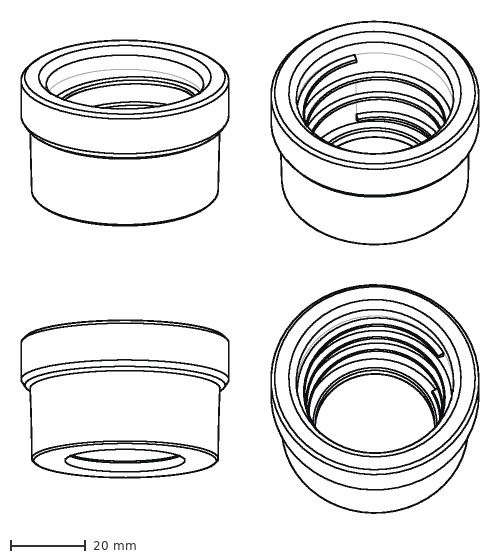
import cadquery as cq
import math

total_height = 33.0

collar_radius = 27.75
collar_top_chamfer = 1.0
collar_base_drop = 11.0
underside_break_drop = 12.55
underside_break_radius = 26.75

neck_top_drop = 13.45
neck_top_radius = 25.35
neck_base_radius = 24.9
neck_base_chamfer = 0.55

bore_radius = 21.0
bore_chamfer = 2.0
straight_bore_depth = 6.0
bore_depth = 30.0
bore_taper = 4.5
outlet_radius = 16.0
outlet_chamfer = 0.55

thread_pitch = 7.0
thread_turns = 3
thread_height = 1.7
thread_root_width = 2.45
crest_top_drop = 0.35
crest_base_drop = 1.15
crest_bulge = 0.3
root_overlap = 0.55

taper_slope = math.tan(math.radians(bore_taper))
bore_floor_z = total_height - bore_depth
taper_top_z = total_height - straight_bore_depth


def tapered_bore_radius(z):
    return bore_radius - (taper_top_z - z) * taper_slope


def make_body():
    profile = (
        cq.Workplane("XZ")
        .moveTo(outlet_radius, 0)
        .lineTo(neck_base_radius - neck_base_chamfer, 0)
        .lineTo(neck_base_radius, neck_base_chamfer)
        .lineTo(neck_top_radius, total_height - neck_top_drop)
        .lineTo(underside_break_radius, total_height - underside_break_drop)
        .lineTo(collar_radius, total_height - collar_base_drop)
        .lineTo(collar_radius, total_height - collar_top_chamfer)
        .lineTo(collar_radius - collar_top_chamfer, total_height)
        .lineTo(bore_radius + bore_chamfer, total_height)
        .lineTo(bore_radius, total_height - bore_chamfer)
        .lineTo(bore_radius, taper_top_z)
        .lineTo(tapered_bore_radius(bore_floor_z), bore_floor_z)
        .lineTo(outlet_radius + outlet_chamfer, bore_floor_z)
        .lineTo(outlet_radius, bore_floor_z - outlet_chamfer)
        .close()
    )
    return profile.revolve(360, (0, 0, 0), (0, 1, 0))


def make_thread():
    rise = thread_pitch * thread_turns
    root_top_z = taper_top_z - rise
    root_base_z = root_top_z - thread_root_width
    crest_top_z = root_top_z - crest_top_drop
    crest_base_z = root_top_z - crest_base_drop
    crest_top = (tapered_bore_radius(crest_top_z) - thread_height, crest_top_z)
    crest_base = (tapered_bore_radius(crest_base_z) - thread_height, crest_base_z)
    helix_radius = tapered_bore_radius(root_top_z)
    sunk_radius = helix_radius + root_overlap

    wall_stretch = 1 / math.cos(math.radians(bore_taper))
    path = cq.Wire.makeHelix(
        thread_pitch * wall_stretch,
        rise * wall_stretch,
        helix_radius,
        center=cq.Vector(0, 0, root_top_z),
        angle=bore_taper,
        lefthand=True,
    )
    section = (
        cq.Workplane("XZ")
        .moveTo(sunk_radius, root_top_z)
        .lineTo(*crest_top)
        .sagittaArc(crest_base, -crest_bulge)
        .lineTo(sunk_radius, root_base_z)
        .close()
    )
    return section.sweep(cq.Workplane(path), isFrenet=True)


result = make_body().union(make_thread())